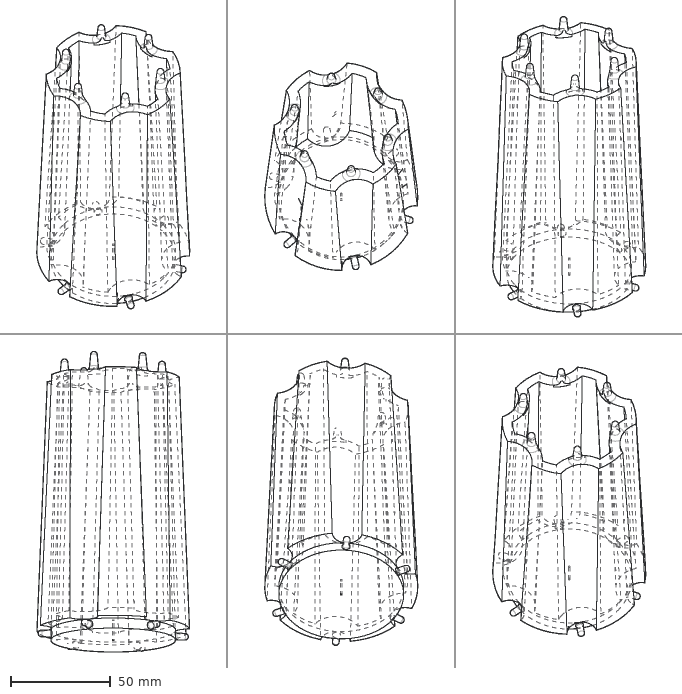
import cadquery as cq
import math

ring_height = 5.2
rim_height = 133.3
total_height = 143.2
floor_thickness = 5.0
floor_level = ring_height + floor_thickness

flute_count = 6
flute_pitch = 360 / flute_count
first_flute_angle = 90

ring_radius = 31.4
outer_base = (38.45, ring_radius, 7.5)
outer_rim = (33.7, 28.0, 9.6)
wall_thickness = 5.0
flute_wall_thickness = 5.6
inner_base = (outer_base[0] - wall_thickness, outer_base[1] - flute_wall_thickness, 10.7)
inner_rim = (outer_rim[0] - wall_thickness, outer_rim[1] - flute_wall_thickness, 11.0)

drain_diameter = 1.0

rim_pin_offset = 24.6
rim_pin_tip_radius = 1.7
rim_pin_base_radius = 2.3
rim_pin_flare = 2.1

ring_pin_reach = 38.0
ring_pin_radius = 1.7
ring_pin_flare = 0.7
ring_pin_foot_offset = 31.2

pin_root = 1.5


def polar(radius, angle):
    """Point at a radius and an angle in degrees."""
    return (radius * math.cos(math.radians(angle)), radius * math.sin(math.radians(angle)))


def fluted_section(level, lobe_radius, flute_radius, mouth_half_width):
    """Closed wire of alternating flute arcs and lobe arcs at one level."""
    mouth_angle = math.degrees(math.asin(mouth_half_width / lobe_radius))
    section = cq.Workplane("XY", origin=(0, 0, level))
    section = section.moveTo(*polar(lobe_radius, first_flute_angle - mouth_angle))
    for index in range(flute_count):
        flute_angle = first_flute_angle + index * flute_pitch
        next_flute_angle = flute_angle + flute_pitch
        section = section.threePointArc(
            polar(flute_radius, flute_angle), polar(lobe_radius, flute_angle + mouth_angle)
        )
        section = section.threePointArc(
            polar(lobe_radius, flute_angle + flute_pitch / 2),
            polar(lobe_radius, next_flute_angle - mouth_angle),
        )
    return section.close().val()


def fluted_taper(base_level, base, top_level, top):
    """Solid with straight sides between two fluted sections."""
    wires = [fluted_section(base_level, *base), fluted_section(top_level, *top)]
    return cq.Workplane(cq.Solid.makeLoft(wires, True))


def rim_section_prism(section):
    """Upright prism of a fluted section, from the pin roots up to the pin tips."""
    base_level = rim_height - pin_root
    wire = fluted_section(base_level, *section)
    height = total_height - base_level
    return cq.Workplane(cq.Solid.extrudeLinear(wire, [], cq.Vector(0, 0, height)))


def domed_pin(length, base_radius, tip_radius, flare):
    """Pin along +Z from a foot at Z = 0, with a concave flare at the foot and a round tip."""
    shoulder = length - tip_radius
    diagonal = math.sqrt(0.5)
    return (
        cq.Workplane("XZ")
        .moveTo(0, -pin_root)
        .lineTo(base_radius + flare, -pin_root)
        .lineTo(base_radius + flare, 0)
        .threePointArc(
            (base_radius + flare * (1 - diagonal), flare * (1 - diagonal)), (base_radius, flare)
        )
        .lineTo(tip_radius, shoulder)
        .threePointArc((tip_radius * diagonal, shoulder + tip_radius * diagonal), (0, length))
        .close()
        .revolve(360, (0, 0, 0), (0, 1, 0))
    )


def around_axis(shape):
    """Copies of a shape built on the +Y flute, one for every flute."""
    copies = cq.Workplane()
    for index in range(flute_count):
        copies = copies.add(shape.rotate((0, 0, 0), (0, 0, 1), index * flute_pitch))
    return copies.combine()


body = fluted_taper(ring_height, outer_base, rim_height, outer_rim)
ring = cq.Workplane("XY").circle(ring_radius).extrude(ring_height)
cavity = fluted_taper(floor_level, inner_base, rim_height, inner_rim)
drain = cq.Workplane("XY").circle(drain_diameter / 2).extrude(floor_level)
pot = body.union(ring).cut(cavity).cut(drain)

rim_wall = rim_section_prism(outer_rim).cut(rim_section_prism(inner_rim))
rim_pin = domed_pin(total_height - rim_height, rim_pin_base_radius, rim_pin_tip_radius, rim_pin_flare)
rim_pins = around_axis(rim_pin.translate((0, rim_pin_offset, rim_height))).intersect(rim_wall)

ring_pin = domed_pin(ring_pin_reach - ring_pin_foot_offset, ring_pin_radius, ring_pin_radius, ring_pin_flare)
ring_pin = ring_pin.rotate((0, 0, 0), (1, 0, 0), -90)
ring_pins = around_axis(ring_pin.translate((0, ring_pin_foot_offset, ring_height / 2)))

result = pot.union(rim_pins).union(ring_pins)